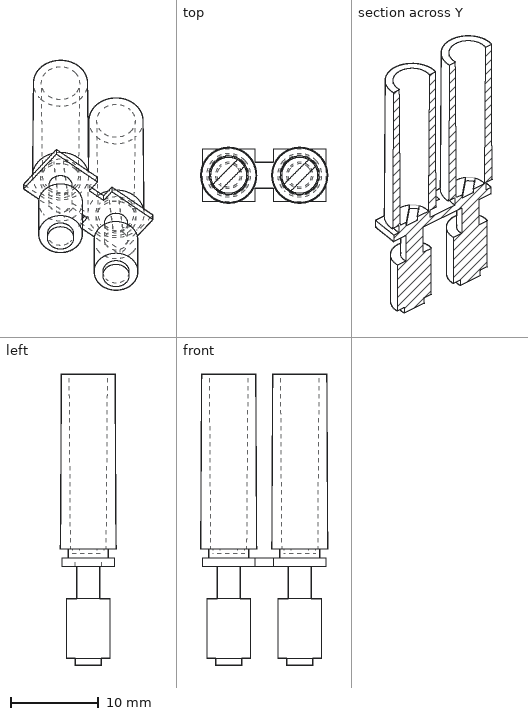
import cadquery as cq

post_spacing = 8.1
post_positions = [-post_spacing / 2, post_spacing / 2]

tip_length = 0.8
barrel_length = 6.8
shank_length = 3.65
plate_thickness = 1.0
neck_length = 1.0
sleeve_length = 19.95

barrel_bottom = tip_length
shank_bottom = barrel_bottom + barrel_length
plate_bottom = shank_bottom + shank_length
neck_bottom = plate_bottom + plate_thickness
sleeve_bottom = neck_bottom + neck_length

tip_diameter = 3.0
barrel_diameter = 5.0
shank_diameter = 2.65
neck_diameter = 4.6
sleeve_bottom_diameter = 6.4
sleeve_top_diameter = 6.2
bore_bottom_diameter = 4.1
bore_top_diameter = 4.4

pad_size = 6.0
bridge_width = 3.0

slot_width = 1.1
slot_depth = 0.5
slot_angle = 45


def cylinder(diameter, bottom, length):
    return cq.Workplane("XY").workplane(offset=bottom).circle(diameter / 2).extrude(length)


def cone(bottom_diameter, top_diameter, bottom, length):
    return (
        cq.Workplane("XY")
        .workplane(offset=bottom)
        .circle(bottom_diameter / 2)
        .workplane(offset=length)
        .circle(top_diameter / 2)
        .loft()
    )


def plate_block(length, width):
    return (
        cq.Workplane("XY")
        .workplane(offset=plate_bottom)
        .rect(length, width)
        .extrude(plate_thickness)
    )


def make_slot():
    """Diagonal slot below the bore floor, ending at the bore wall."""
    slot_bottom = sleeve_bottom - slot_depth
    bar = (
        cq.Workplane("XY")
        .workplane(offset=slot_bottom)
        .rect(bore_bottom_diameter, slot_width)
        .extrude(slot_depth)
        .rotate((0, 0, 0), (0, 0, 1), slot_angle)
    )
    return bar.intersect(cylinder(bore_bottom_diameter, slot_bottom, slot_depth))


def make_post():
    """One post centred on the Z axis, with its square pad and hollow sleeve."""
    post = cylinder(tip_diameter, 0, tip_length)
    post = post.union(cylinder(barrel_diameter, barrel_bottom, barrel_length))
    post = post.union(cylinder(shank_diameter, shank_bottom, shank_length))
    post = post.union(plate_block(pad_size, pad_size))
    post = post.union(cylinder(neck_diameter, neck_bottom, neck_length))
    sleeve = cone(sleeve_bottom_diameter, sleeve_top_diameter, sleeve_bottom, sleeve_length)
    bore = cone(bore_bottom_diameter, bore_top_diameter, sleeve_bottom, sleeve_length)
    return post.union(sleeve.cut(bore)).cut(make_slot())


result = plate_block(post_spacing, bridge_width)
for x in post_positions:
    result = result.union(make_post().translate((x, 0, 0)))